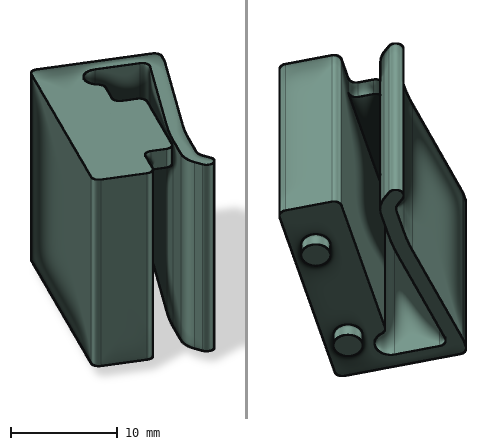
import cadquery as cq
import math

width = 22.0
height = 20.0
block_depth = 6.0
overall_depth = 12.7
corner_radius = 0.75
left = -width / 2
right = width / 2

wall = 1.5
inner_left = left + wall
relief_radius = 1.5
relief_x = inner_left + relief_radius

clip_thickness = 1.5
contact_y = 9.3
slope_start_x = -9.25
slope_angle = math.radians(8)
arm_bend_radius = 18.5
shoulder_radius = 2.0
flare_angle = math.radians(45)
flare_inner_radius = 1.25
tip_radius = clip_thickness / 2
tip_x = right - tip_radius
tip_y = 11.23

tab_left = -3.0
tab_right = 7.0
tab_y = 9.0
tab_crest_radius = 0.75
tab_root_radius = 0.75
tab_height = 2.0

pin_diameter = 2.75
pin_length = 1.4
pin_spacing = 12.0
pin_y = 2.4


def fillet_corners(solid, corners, radius):
    """Round the Z-parallel edges that stand on the given XY corners."""
    for x, y in corners:
        edge = cq.selectors.NearestToPointSelector((x, y, height / 2))
        solid = solid.edges("|Z").edges(edge).fillet(radius)
    return solid


def make_body():
    """Block, side wall and spring clip as one extruded outline."""
    contact_top_y = contact_y + clip_thickness

    slope = math.tan(slope_angle)
    arm_drop = clip_thickness / math.cos(slope_angle)
    outer_bend = (slope_start_x + (overall_depth - contact_top_y) / slope, contact_top_y)
    inner_bend = (slope_start_x + (overall_depth - arm_drop - contact_y) / slope, contact_y)
    inner_corner = (inner_left, overall_depth - arm_drop - (inner_left - slope_start_x) * slope)

    across_x = tip_radius * math.sin(flare_angle)
    across_y = tip_radius * math.cos(flare_angle)
    flare_upper = (tip_x - across_x, tip_y + across_y)
    flare_lower = (tip_x + across_x, tip_y - across_y)
    tip_end = (tip_x + tip_radius * math.cos(flare_angle), tip_y + tip_radius * math.sin(flare_angle))
    flare_slope = math.tan(flare_angle)
    upper_flare_bend = (flare_upper[0] - (flare_upper[1] - contact_top_y) / flare_slope, contact_top_y)
    lower_flare_bend = (flare_lower[0] - (flare_lower[1] - contact_y) / flare_slope, contact_y)

    relief_end = (relief_x + relief_radius, block_depth)
    outline = (
        cq.Workplane("XY")
        .moveTo(left, 0)
        .lineTo(right, 0)
        .lineTo(right, block_depth)
        .lineTo(*relief_end)
        .threePointArc((relief_x, block_depth - relief_radius), (inner_left, block_depth))
        .lineTo(*inner_corner)
        .lineTo(*inner_bend)
        .lineTo(*lower_flare_bend)
        .lineTo(*flare_lower)
        .threePointArc(tip_end, flare_upper)
        .lineTo(*upper_flare_bend)
        .lineTo(*outer_bend)
        .lineTo(slope_start_x, overall_depth)
        .lineTo(left, overall_depth)
        .close()
    )
    body = outline.extrude(height)

    block_corners = [(left, 0), (right, 0), (right, block_depth), relief_end]
    wall_corners = [(left, overall_depth), inner_corner]
    body = fillet_corners(body, block_corners + wall_corners, corner_radius)
    body = fillet_corners(body, [(slope_start_x, overall_depth)], shoulder_radius)
    body = fillet_corners(body, [outer_bend], arm_bend_radius)
    body = fillet_corners(body, [inner_bend], arm_bend_radius + clip_thickness)
    body = fillet_corners(body, [upper_flare_bend], flare_inner_radius)
    return fillet_corners(body, [lower_flare_bend], flare_inner_radius + clip_thickness)


def add_tab(body):
    """Thin tab on the back of the block, flush with its top, rounded at crest and root."""
    tab = (
        cq.Workplane("XY")
        .moveTo(tab_left - tab_root_radius, block_depth)
        .radiusArc((tab_left, block_depth + tab_root_radius), -tab_root_radius)
        .lineTo(tab_left, tab_y)
        .lineTo(tab_right, tab_y)
        .lineTo(tab_right, block_depth + tab_root_radius)
        .radiusArc((tab_right + tab_root_radius, block_depth), -tab_root_radius)
        .close()
        .extrude(tab_height)
        .translate((0, 0, height - tab_height))
    )
    tab = fillet_corners(tab, [(tab_left, tab_y), (tab_right, tab_y)], tab_crest_radius)
    return body.union(tab)


def add_pins(body):
    """Round pins standing out below the block."""
    pins = (
        cq.Workplane("XY")
        .pushPoints([(-pin_spacing / 2, pin_y), (pin_spacing / 2, pin_y)])
        .circle(pin_diameter / 2)
        .extrude(-pin_length)
    )
    return body.union(pins)


result = add_pins(add_tab(make_body()))